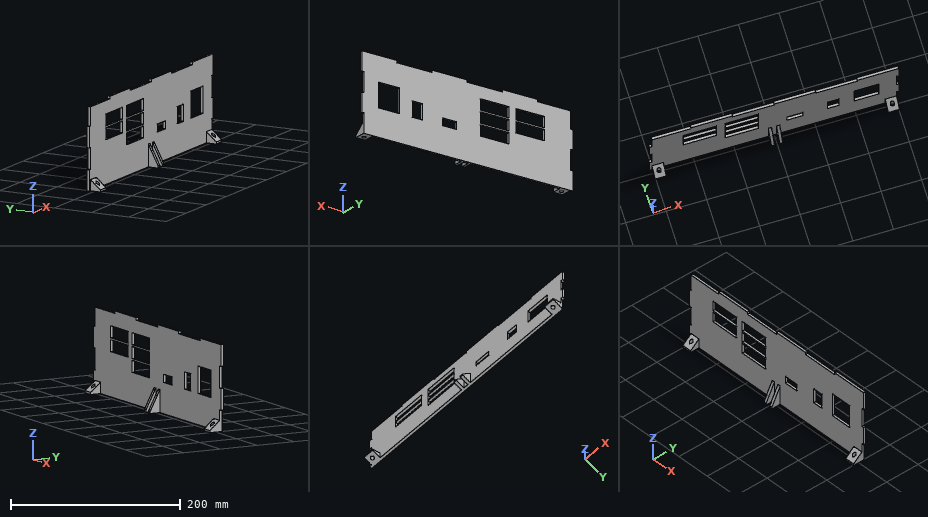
import cadquery as cq

LENGTH = 308.0
HEIGHT = 105.0
DEPTH = 17.0
THICKNESS = 3.7
REACH = DEPTH - THICKNESS

FINGER_DEPTH = 3.0
TOP_PITCH = LENGTH / 6
SIDE_PITCH = HEIGHT / 4

SLOT_WIDTH = 41.0
SLOT_HEIGHT = 14.2
SLOT_PITCH = 16.5
SLOT_TOP = 85.3
SLOT_COLUMNS = [(42.0, 2), (93.5, 3)]
WINDOW_SILL = SLOT_TOP - 2 * SLOT_PITCH - SLOT_HEIGHT
WINDOWS = [(169.7, 20.0, 9.5), (220.0, 14.2, 20.5), (253.0, 30.2, 32.5)]

LIP_HEIGHT = 2.8
BRACKET_WIDTH = 14.2
BRACKET_HEIGHT = 14.0
HOLE_DIAMETER = 4.5
HOLE_FROM_FACE = 6.0
RIB_WIDTH = 4.0
RIB_HEIGHT = 28.0
RIB_PITCH = 10.2
FIRST_RIB_X = 146.5


def panel_block(left, bottom, width, height):
    """Box through the full panel thickness."""
    return cq.Workplane("XY").box(width, THICKNESS, height, centered=False).translate((left, 0, bottom))


def make_panel():
    panel = panel_block(0, 0, LENGTH, HEIGHT)
    for i in range(0, 6, 2):
        panel = panel.cut(panel_block(i * TOP_PITCH, HEIGHT - FINGER_DEPTH, TOP_PITCH, FINGER_DEPTH))
    for i in range(4):
        notch_left = 0 if i % 2 else LENGTH - FINGER_DEPTH
        panel = panel.cut(panel_block(notch_left, i * SIDE_PITCH, FINGER_DEPTH, SIDE_PITCH))
    return panel


def cut_windows(panel):
    for left, count in SLOT_COLUMNS:
        for row in range(count):
            bottom = SLOT_TOP - SLOT_HEIGHT - row * SLOT_PITCH
            panel = panel.cut(panel_block(left, bottom, SLOT_WIDTH, SLOT_HEIGHT))
    for left, width, height in WINDOWS:
        panel = panel.cut(panel_block(left, WINDOW_SILL, width, height))
    return panel


def sloped_support(left, width, height):
    """Wedge that drops from the panel face to a short upright lip."""
    root = THICKNESS / 2
    profile = [(root, 0), (-REACH, 0), (-REACH, LIP_HEIGHT), (0, height), (root, height)]
    return cq.Workplane("YZ").polyline(profile).close().extrude(width).translate((left, 0, 0))


def screw_bracket(left):
    hole = (
        cq.Workplane("XY")
        .center(left + BRACKET_WIDTH / 2, -HOLE_FROM_FACE)
        .circle(HOLE_DIAMETER / 2)
        .extrude(BRACKET_HEIGHT)
    )
    return sloped_support(left, BRACKET_WIDTH, BRACKET_HEIGHT).cut(hole)


result = cut_windows(make_panel())
for bracket_left in (FINGER_DEPTH, LENGTH - FINGER_DEPTH - BRACKET_WIDTH):
    result = result.union(screw_bracket(bracket_left))
for i in range(2):
    result = result.union(sloped_support(FIRST_RIB_X + i * RIB_PITCH, RIB_WIDTH, RIB_HEIGHT))